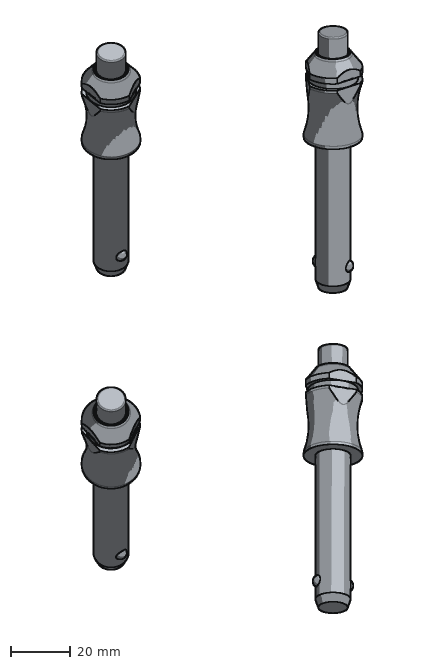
import cadquery as cq
import math

TOTAL_HEIGHT = 95.1
SHANK_RADIUS = 6.0
TIP_RADIUS = 5.0
TIP_HEIGHT = 3.0
GRIP_BOTTOM = 55.8

BALL_RADIUS = 2.25
BALL_REACH = 7.3
BALL_Z = 8.8

HEAD_RADIUS = 10.0
WAIST_RADIUS = 8.3
LOWER_RIM_HEIGHT = 1.2
WAIST_SPAN = 19.7
UPPER_RIM_HEIGHT = 0.9

GROOVE_RADIUS = 8.5
GROOVE_HEIGHT = 2.5
CAP_RIM_HEIGHT = 2.1
CAP_TOP = 87.5
CONE_TOP_RADIUS = 6.5
CONE_TOP = 86.8
LIP_OUTER_RADIUS = 6.0

BUTTON_RADIUS = 5.0
BUTTON_ROUND = 0.5
RECESS_RADIUS = 5.5
RECESS_DEPTH = 0.5

FLAT_COUNT = 3
FLAT_WIDTH = 10.0
FLAT_START_ANGLE = -90.0

waist_bottom = GRIP_BOTTOM + LOWER_RIM_HEIGHT
waist_middle = waist_bottom + WAIST_SPAN / 2
waist_top = waist_bottom + WAIST_SPAN
grip_top = waist_top + UPPER_RIM_HEIGHT
cap_bottom = grip_top + GROOVE_HEIGHT
cone_bottom = cap_bottom + CAP_RIM_HEIGHT
flat_distance = math.sqrt(HEAD_RADIUS**2 - (FLAT_WIDTH / 2) ** 2)


def make_shank():
    outline = (
        cq.Workplane("XZ")
        .moveTo(0, 0)
        .lineTo(TIP_RADIUS, 0)
        .lineTo(SHANK_RADIUS, TIP_HEIGHT)
        .lineTo(SHANK_RADIUS, GRIP_BOTTOM)
        .lineTo(0, GRIP_BOTTOM)
        .close()
    )
    return outline.revolve(360, (0, 0, 0), (0, 1, 0))


def make_head():
    """Grip, groove and cap turned as one body."""
    outline = (
        cq.Workplane("XZ")
        .moveTo(0, GRIP_BOTTOM)
        .lineTo(HEAD_RADIUS, GRIP_BOTTOM)
        .lineTo(HEAD_RADIUS, waist_bottom)
        .threePointArc((WAIST_RADIUS, waist_middle), (HEAD_RADIUS, waist_top))
        .lineTo(HEAD_RADIUS, grip_top)
        .lineTo(GROOVE_RADIUS, grip_top)
        .lineTo(GROOVE_RADIUS, cap_bottom)
        .lineTo(HEAD_RADIUS, cap_bottom)
        .lineTo(HEAD_RADIUS, cone_bottom)
        .lineTo(CONE_TOP_RADIUS, CONE_TOP)
        .lineTo(LIP_OUTER_RADIUS, CAP_TOP)
        .lineTo(RECESS_RADIUS, CAP_TOP)
        .lineTo(RECESS_RADIUS, CAP_TOP - RECESS_DEPTH)
        .lineTo(0, CAP_TOP - RECESS_DEPTH)
        .close()
    )
    return outline.revolve(360, (0, 0, 0), (0, 1, 0))


def cut_flats(head):
    """Trim the upper part of the head, from the waist up, with planes parallel to Z."""
    cutter_depth = HEAD_RADIUS
    cutter_height = CAP_TOP - waist_middle
    cutter = (
        cq.Workplane("XY")
        .box(cutter_depth, 2 * HEAD_RADIUS, cutter_height, centered=(False, True, False))
        .translate((flat_distance, 0, waist_middle))
    )
    for index in range(FLAT_COUNT):
        angle = FLAT_START_ANGLE + index * 360 / FLAT_COUNT
        head = head.cut(cutter.rotate((0, 0, 0), (0, 0, 1), angle))
    return head


def make_button():
    base = CAP_TOP - RECESS_DEPTH
    button = cq.Workplane("XY").workplane(offset=base).circle(BUTTON_RADIUS).extrude(TOTAL_HEIGHT - base)
    return button.faces(">Z").edges().fillet(BUTTON_ROUND)


def make_ball(side):
    center_x = side * (BALL_REACH - BALL_RADIUS)
    return cq.Workplane("XY").sphere(BALL_RADIUS).translate((center_x, 0, BALL_Z))


result = make_shank().union(cut_flats(make_head())).union(make_button())
for ball_side in (-1, 1):
    result = result.union(make_ball(ball_side))